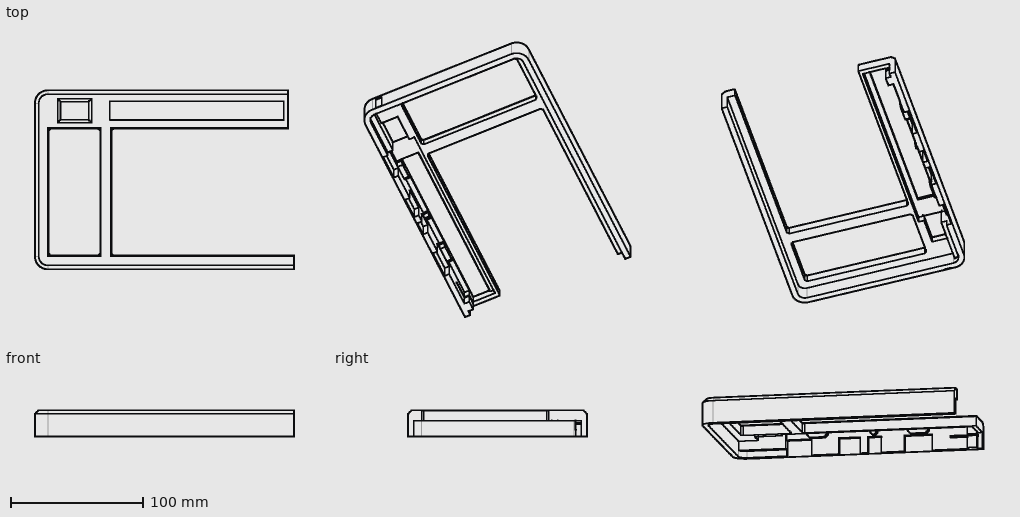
import cadquery as cq

LENGTH = 196.36
WIDTH = 135.66
HEIGHT = 20.1
REAR_ARM_END = 191.8

CORNER_RADIUS = 10.0
TOP_CHAMFER = 3.0
OUTER_WALL = 4.5
FRAME_DEPTH = 8.0
FRAME_BOTTOM = HEIGHT - FRAME_DEPTH

FRONT_ARM_WIDTH = 10.6
LEFT_ARM_WIDTH = 10.6
REAR_ARM_WIDTH = 29.1
BAR_START = 49.4
BAR_END = 58.1
OPENING_TOP = WIDTH - REAR_ARM_WIDTH
CORNER_CUT = 1.5
EDGE_CHAMFER = 0.7

SLOT_START = 56.9
SLOT_END = 188.3
SLOT_REAR = 8.5
SLOT_FRONT = 22.4

WINDOW_START = 17.4
WINDOW_END = 43.0
WINDOW_REAR = 6.6
WINDOW_FRONT = 24.5
WINDOW_BEVEL = 2.2

SKIN = 2.2
CAVITY_START = WINDOW_END - WINDOW_BEVEL
CAVITY_FRONT_WALL = 2.5
WINDOW_BLOCK_BOTTOM = 5.0

THIN_WALL = 0.8
THIN_TOP = 12.4
THIN_STRETCHES = [
    (CAVITY_START, 60.0),
    (81.0, 97.4),
    (103.2, 113.7),
    (131.6, 153.0),
]

BLOCK_DROP = 7.2
BLOCK_BEVEL = 2.3
HANGING_BLOCKS = [
    (SLOT_START, 72.6),
    (105.6, 111.0),
    (134.6, 150.8),
]
END_BLOCK_START = 181.0

GROOVE_START = 167.0
GROOVE_BOTTOM = 9.2
GROOVE_TOP = 10.6
GROOVE_FLOOR = 3.0

RECESS_WIDTH = 5.0
RECESS_REAR = 13.0
RECESS_BOTTOM = 0.7
RECESS_TOP = 13.8
RECESS_DEPTH = 0.3

CUT_MARGIN = 1.0


def box(x_range, y_range, z_range):
    """Axis-aligned box from its limits along X, Y and Z."""
    (x0, x1), (y0, y1), (z0, z1) = x_range, y_range, z_range
    return cq.Workplane("XY").box(x1 - x0, y1 - y0, z1 - z0, centered=False).translate((x0, y0, z0))


def rear_box(x_range, rear_range, z_range):
    """Box whose Y limits are distances in from the rear (+Y) face."""
    near, far = rear_range
    return box(x_range, (WIDTH - far, WIDTH - near), z_range)


def outer_body():
    """Slab rounded at its two -X corners and bevelled along three top edges."""
    body = box((0, LENGTH), (0, WIDTH), (0, HEIGHT))
    body = body.edges("|Z and <X").fillet(CORNER_RADIUS)
    return body.faces(">Z").edges("not >X").chamfer(TOP_CHAMFER)


def bevelled_rim(x_size, y_size, bevel):
    """Cutter centred on Z that narrows by the bevel on all four sides, from the top face down."""
    return (
        cq.Workplane("XY")
        .workplane(offset=HEIGHT)
        .rect(x_size, y_size)
        .workplane(offset=-bevel)
        .rect(x_size - 2 * bevel, y_size - 2 * bevel)
        .loft(ruled=True)
    )


def frame_opening(x_start, x_end):
    """Cutter for an opening with bevelled upright corners and upper rim."""
    x_size = x_end - x_start
    y_size = OPENING_TOP - FRONT_ARM_WIDTH
    center_x = (x_start + x_end) / 2
    center_y = (FRONT_ARM_WIDTH + OPENING_TOP) / 2
    shaft = cq.Workplane("XY").box(x_size, y_size, HEIGHT, centered=(True, True, False))
    shaft = shaft.edges("|Z").chamfer(CORNER_CUT)
    rim = bevelled_rim(x_size + 2 * EDGE_CHAMFER, y_size + 2 * EDGE_CHAMFER, EDGE_CHAMFER)
    return shaft.union(rim).translate((center_x, center_y, 0))


def square_window():
    """Cutter for the window in the top skin with its bevelled rim."""
    x_size = WINDOW_END - WINDOW_START
    y_size = WINDOW_FRONT - WINDOW_REAR
    center_x = (WINDOW_START + WINDOW_END) / 2
    center_y = WIDTH - (WINDOW_REAR + WINDOW_FRONT) / 2
    shaft = cq.Workplane("XY").box(
        x_size - 2 * WINDOW_BEVEL, y_size - 2 * WINDOW_BEVEL, HEIGHT, centered=(True, True, False)
    )
    rim = bevelled_rim(x_size, y_size, WINDOW_BEVEL)
    return shaft.union(rim).translate((center_x, center_y, 0))


def underside_hollow():
    """Space inside the outer walls, below the frame band."""
    hollow = box(
        (OUTER_WALL, LENGTH + CUT_MARGIN),
        (OUTER_WALL, WIDTH - OUTER_WALL),
        (0, FRAME_BOTTOM),
    )
    return hollow.edges("|Z and <X").fillet(CORNER_RADIUS - OUTER_WALL)


def rear_arm_cavity():
    """Space under the top skin of the rear arm, including the thinned wall stretches."""
    skin_bottom = HEIGHT - SKIN
    cavity = rear_box(
        (CAVITY_START, SLOT_END), (OUTER_WALL, REAR_ARM_WIDTH - CAVITY_FRONT_WALL), (0, skin_bottom)
    )
    for stretch in THIN_STRETCHES:
        cavity = cavity.union(rear_box(stretch, (THIN_WALL, OUTER_WALL), (0, THIN_TOP)))
    return cavity


def rear_wall_blocks():
    """Blocks standing on the inner side of the rear wall."""
    window_wall = WINDOW_REAR + WINDOW_BEVEL
    blocks = rear_box(
        (OUTER_WALL, CAVITY_START), (OUTER_WALL, window_wall), (WINDOW_BLOCK_BOTTOM, FRAME_BOTTOM)
    )
    for span in HANGING_BLOCKS:
        hanging = rear_box(span, (OUTER_WALL, SLOT_REAR), (HEIGHT - BLOCK_DROP, HEIGHT - SKIN))
        blocks = blocks.union(hanging.faces("<Z").edges("|Y").chamfer(BLOCK_BEVEL))
    end_span = (END_BLOCK_START, SLOT_END)
    return blocks.union(rear_box(end_span, (OUTER_WALL, SLOT_REAR), (0, HEIGHT - SKIN)))


def rear_wall_groove():
    """Cutter for the groove along the inner side of the rear wall and the end block."""
    return rear_box(
        (GROOVE_START, SLOT_END), (GROOVE_FLOOR, SLOT_REAR), (GROOVE_BOTTOM, GROOVE_TOP)
    )


def side_recess():
    """Cutter for the shallow upright recess in the -X face."""
    return rear_box(
        (0, RECESS_DEPTH), (RECESS_REAR, RECESS_REAR + RECESS_WIDTH), (RECESS_BOTTOM, RECESS_TOP)
    )


long_slot = rear_box((SLOT_START, SLOT_END), (SLOT_REAR, SLOT_FRONT), (HEIGHT - SKIN, HEIGHT))
rear_arm_trim = rear_box((REAR_ARM_END, LENGTH), (0, REAR_ARM_WIDTH), (0, HEIGHT))

result = (
    outer_body()
    .cut(underside_hollow())
    .cut(rear_arm_cavity())
    .union(rear_wall_blocks())
    .cut(rear_wall_groove())
    .cut(long_slot)
    .cut(square_window())
    .cut(frame_opening(LEFT_ARM_WIDTH, BAR_START))
    .cut(frame_opening(BAR_END, LENGTH + OUTER_WALL))
    .cut(rear_arm_trim)
    .cut(side_recess())
)